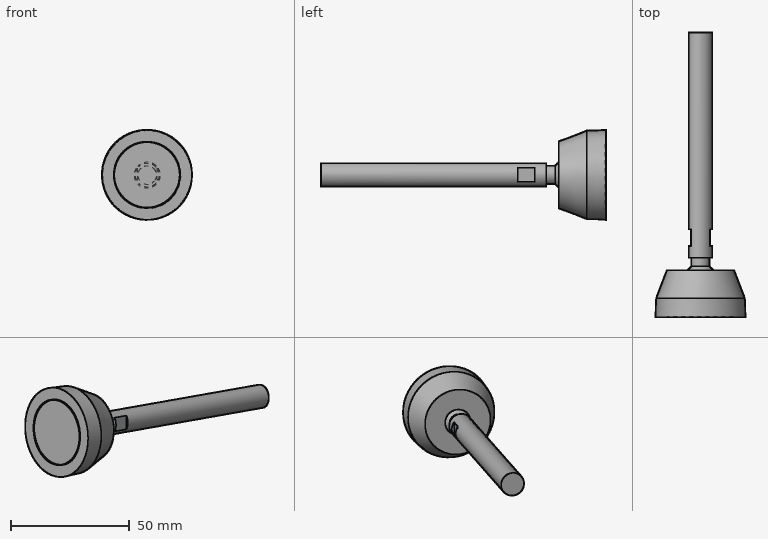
import cadquery as cq

total_length = 120.0

base_diameter = 38.0
shoulder_diameter = 37.5
top_diameter = 28.3
shoulder_height = 8.0
foot_height = 19.9

groove_outer_diameter = 28.0
groove_inner_diameter = 27.5
groove_depth = 0.5

stem_diameter = 10.0
neck_diameter = 7.8
flare_diameter = 10.9
flare_height = (flare_diameter - neck_diameter) / 2
neck_end = 25.1

flat_start = 30.1
flat_length = 7.0
width_across_flats = 8.0

underside = -total_length / 2


def make_foot():
    """Revolve the two conical bands, then cut the thin ring groove."""
    shoulder_y = underside + shoulder_height
    top_y = underside + foot_height
    body = (
        cq.Workplane("XY")
        .moveTo(0, underside)
        .lineTo(base_diameter / 2, underside)
        .lineTo(shoulder_diameter / 2, shoulder_y)
        .lineTo(top_diameter / 2, top_y)
        .lineTo(0, top_y)
        .close()
        .revolve(360, (0, 0, 0), (0, 1, 0))
    )
    groove = (
        cq.Workplane("XZ", origin=(0, underside, 0))
        .circle(groove_outer_diameter / 2)
        .circle(groove_inner_diameter / 2)
        .extrude(-groove_depth)
    )
    return body.cut(groove)


def make_stem():
    """Revolve the flared neck and rod, then cut the wrench flats."""
    seat_y = underside + foot_height
    flare_end_y = seat_y + flare_height
    neck_end_y = underside + neck_end
    tip_y = underside + total_length
    rod = (
        cq.Workplane("XY")
        .moveTo(0, seat_y)
        .lineTo(flare_diameter / 2, seat_y)
        .lineTo(neck_diameter / 2, flare_end_y)
        .lineTo(neck_diameter / 2, neck_end_y)
        .lineTo(stem_diameter / 2, neck_end_y)
        .lineTo(stem_diameter / 2, tip_y)
        .lineTo(0, tip_y)
        .close()
        .revolve(360, (0, 0, 0), (0, 1, 0))
    )
    flat_center_y = underside + flat_start + flat_length / 2
    for side in (-1, 1):
        cutter_x = side * (width_across_flats + stem_diameter) / 2
        cutter = (
            cq.Workplane("XY")
            .box(stem_diameter, flat_length, stem_diameter)
            .translate((cutter_x, flat_center_y, 0))
        )
        rod = rod.cut(cutter)
    return rod


foot = make_foot()
stem = make_stem()

result = cq.Compound.makeCompound([foot.solids().val(), stem.solids().val()])